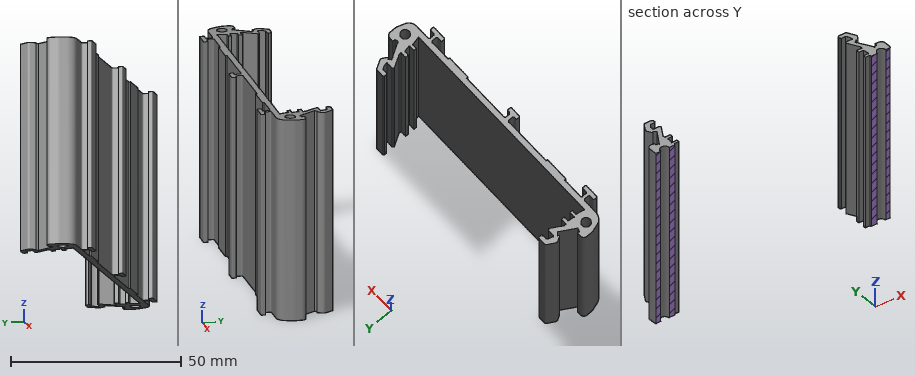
import cadquery as cq
import math

width = 86.8
depth = 21.5
length = 62.5
half_width = width / 2

plate_bottom = 3.6
plate_top = 5.5
pad_thickness = 0.5
pad_near = 17.7
pad_width = 8.2
groove_width = 0.9
groove_depth = 0.3

foot_thickness = 1.4
side_foot_inset = 9.8
side_foot_width = 5.0
side_stem_width = 1.0
middle_foot_width = 4.0
middle_stem_width = 1.4
foot_bottom_radius = 0.3
foot_top_radius = 0.2
stem_radius = 0.4

wall_slant = 30.0
wall_foot = 6.8
wall_inner = 7.0
rib_root = 7.4
rib_tip = 9.0
lower_rib_bottom, lower_rib_top = 8.3, 9.3
upper_rib_bottom, upper_rib_top = 11.5, 12.6
slant_start = 13.4

screw_hole_diameter = 3.0
screw_hole_inset = 3.5
screw_hole_y = 7.8
boss_inner = 2.7
boss_step = 11.2
boss_top = 12.0
boss_top_radius = 1.4
boss_slant = 19.0
boss_slant_top = 8.25
boss_radius = 3.0

hook_tip = 9.3
hook_chamfer = 0.35
slot_bottom, slot_top = 17.8, 20.05
slot_floor_bottom, slot_floor_top = 6.6, 7.4
slot_bend_x, slot_bend_y = 6.9, 19.2
hook_back_x, hook_back_y = 4.3, 18.4
hook_back_radius = 1.0
hook_top_radius = 0.5
barb_x, barb_y = 5.55, 16.3
barb_radius = 0.2
notch_start_x, notch_start_y = 5.9, 16.8
notch_x, notch_y = 6.9, 16.15
valley_x, valley_y = 3.7, 10.85


def rectangle(x_min, x_max, y_min, y_max):
    """Full-length bar with the given cross-section."""
    return (
        cq.Workplane("XY")
        .center((x_min + x_max) / 2, (y_min + y_max) / 2)
        .rect(x_max - x_min, y_max - y_min)
        .extrude(length)
    )


def round_edge(body, x, y, radius):
    """Fillet the full-length edge that passes through (x, y)."""
    edge_middle = cq.NearestToPointSelector((x, y, length / 2))
    return body.edges("|Z").edges(edge_middle).fillet(radius)


def add_foot(body, center_x, foot_width, stem_width):
    """Hang a T-section foot with rounded corners from the plate."""
    foot_half = foot_width / 2
    stem_half = stem_width / 2
    foot = rectangle(center_x - foot_half, center_x + foot_half, 0, foot_thickness)
    stem = rectangle(center_x - stem_half, center_x + stem_half, 0, plate_top)
    body = body.union(foot).union(stem)
    for side in (-1, 1):
        foot_edge = center_x + side * foot_half
        stem_face = center_x + side * stem_half
        body = round_edge(body, foot_edge, 0, foot_bottom_radius)
        body = round_edge(body, foot_edge, foot_thickness, foot_top_radius)
        body = round_edge(body, stem_face, foot_thickness, stem_radius)
        body = round_edge(body, stem_face, plate_bottom, stem_radius)
    return body


def side_wall():
    """Left side wall with screw boss, inner ribs and hook; X = 0 is the outer side."""
    slant = math.tan(math.radians(wall_slant))
    slant_end = slant_start + (hook_tip - wall_inner) / slant
    hook_top_x = hook_back_x + (depth - hook_back_y) * slant
    boss_corner_x = (boss_slant_top - plate_bottom) * math.tan(math.radians(boss_slant))
    wall = (
        cq.Workplane("XY")
        .moveTo(wall_foot, plate_bottom)
        .lineTo(wall_foot, plate_top)
        .lineTo(rib_root, lower_rib_bottom)
        .lineTo(rib_tip, lower_rib_bottom)
        .lineTo(rib_tip, lower_rib_top)
        .lineTo(wall_inner, lower_rib_top)
        .lineTo(rib_root, upper_rib_bottom)
        .lineTo(rib_tip, upper_rib_bottom)
        .lineTo(rib_tip, upper_rib_top)
        .lineTo(wall_inner, upper_rib_top)
        .lineTo(wall_inner, slant_start)
        .lineTo(hook_tip, slant_end)
        .lineTo(hook_tip, slot_bottom - hook_chamfer)
        .lineTo(hook_tip - hook_chamfer, slot_bottom)
        .lineTo(slot_floor_bottom, slot_bottom)
        .threePointArc((slot_bend_x, slot_bend_y), (slot_floor_top, slot_top))
        .lineTo(hook_tip - hook_chamfer, slot_top)
        .lineTo(hook_tip, slot_top + hook_chamfer)
        .lineTo(hook_tip, depth - hook_chamfer)
        .lineTo(hook_tip - hook_chamfer, depth)
        .lineTo(hook_top_x, depth)
        .lineTo(hook_back_x, hook_back_y)
        .lineTo(barb_x, barb_y)
        .lineTo(notch_start_x, notch_start_y)
        .lineTo(notch_x, notch_y)
        .lineTo(valley_x, valley_y)
        .lineTo(boss_inner, boss_step)
        .lineTo(boss_inner, boss_top)
        .lineTo(0, boss_top)
        .lineTo(0, boss_slant_top)
        .lineTo(boss_corner_x, plate_bottom)
        .close()
        .extrude(length)
    )
    wall = round_edge(wall, hook_top_x, depth, hook_top_radius)
    wall = round_edge(wall, hook_back_x, hook_back_y, hook_back_radius)
    wall = round_edge(wall, barb_x, barb_y, barb_radius)
    wall = round_edge(wall, 0, boss_top, boss_top_radius)
    wall = round_edge(wall, 0, boss_slant_top, boss_radius)
    wall = round_edge(wall, boss_corner_x, plate_bottom, boss_radius)
    screw_hole = (
        cq.Workplane("XY")
        .center(screw_hole_inset, screw_hole_y)
        .circle(screw_hole_diameter / 2)
        .extrude(length)
    )
    return wall.cut(screw_hole).translate((-half_width, 0, 0))


def left_half():
    """Plate, pad and side wall to the left of the middle plane."""
    pad_left = pad_near - half_width
    plate = rectangle(wall_foot - half_width, 0, plate_bottom, plate_top)
    pad = rectangle(pad_left, pad_left + pad_width, plate_bottom - pad_thickness, plate_top)
    return plate.union(side_wall()).union(pad)


half = left_half()
body = half.union(half.mirror("YZ")).clean()

groove = rectangle(-groove_width / 2, groove_width / 2, plate_top - groove_depth, plate_top)
body = body.cut(groove)

side_foot_x = half_width - side_foot_inset
body = add_foot(body, 0, middle_foot_width, middle_stem_width)
for foot_x in (-side_foot_x, side_foot_x):
    body = add_foot(body, foot_x, side_foot_width, side_stem_width)

result = body.translate((0, -depth / 2, -length / 2))